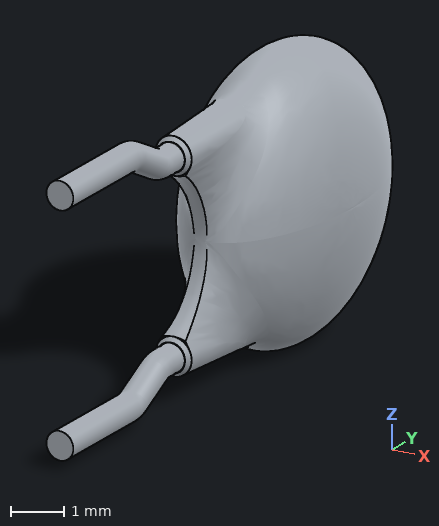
import cadquery as cq
import math

disc_diameter = 6.0
lens_thickness = 3.0
overall_length = 11.0
disc_radius = disc_diameter / 2
half_thickness = lens_thickness / 2

sleeve_end_y = -4.04
sleeve_offset_z = 2.0
sleeve_end_radius = 0.4
sleeve_taper = math.radians(3)
sleeve_blend_radius = 1.7
sleeve_chamfer = 0.09
sleeve_root_y = -0.55
blend_run_out = 0.99

web_edge_radius = 1.83
web_edge_rounding = 0.82
web_cutter_half_width = 0.44

wire_radius = 0.3
wire_tip_offset_z = 2.5
first_bend_y = -4.39
bend_radius = 0.55
bend_angle = math.radians(27)
wire_tip_y = disc_radius - overall_length


def make_lens():
    """Ellipsoid of revolution about the X axis."""
    half_section = (
        cq.Workplane("XY")
        .moveTo(half_thickness, 0)
        .ellipseArc(half_thickness, disc_radius, 0, 180)
        .close()
    )
    return half_section.revolve(360, (0, 0, 0), (1, 0, 0))


def sleeve_radius_at(y):
    return sleeve_end_radius + (y - sleeve_end_y) * math.tan(sleeve_taper)


def make_cone():
    """Sleeve cone, from inside the lens to beyond the finished sleeve end."""
    outer_y = sleeve_end_y - blend_run_out
    return cq.Workplane(
        cq.Solid.makeCone(
            sleeve_radius_at(sleeve_root_y),
            sleeve_radius_at(outer_y),
            sleeve_root_y - outer_y,
            cq.Vector(0, sleeve_root_y, sleeve_offset_z),
            cq.Vector(0, -1, 0),
        )
    )


def make_sleeve_end_trim():
    """Space the trimmed half may fill: a wide cylinder ending in a chamfered round nose."""
    trim_reach = 4 * disc_radius
    chamfer_y = sleeve_end_y + sleeve_chamfer
    profile = (
        cq.Workplane("XY")
        .moveTo(0, sleeve_end_y)
        .lineTo(sleeve_end_radius - sleeve_chamfer, sleeve_end_y)
        .lineTo(sleeve_end_radius, chamfer_y)
        .lineTo(trim_reach, chamfer_y)
        .lineTo(trim_reach, trim_reach)
        .lineTo(0, trim_reach)
        .close()
    )
    return profile.revolve(360, (0, 0, 0), (0, 1, 0)).translate((0, 0, sleeve_offset_z))


def make_web_cutter():
    """Hourglass-shaped cutter along X; its waist touches the tip of the lens."""
    axis_y = -disc_radius - web_edge_radius
    rim_rise = web_edge_rounding - math.sqrt(web_edge_rounding**2 - web_cutter_half_width**2)
    rim_y = -disc_radius + rim_rise
    profile = (
        cq.Workplane("XY")
        .moveTo(-web_cutter_half_width, axis_y)
        .lineTo(-web_cutter_half_width, rim_y)
        .threePointArc((0, -disc_radius), (web_cutter_half_width, rim_y))
        .lineTo(web_cutter_half_width, axis_y)
        .close()
    )
    return profile.revolve(360, (0, axis_y, 0), (1, axis_y, 0))


def make_housing():
    """Upper half with its blended sleeve, mirrored to give the whole housing."""
    joined = make_lens().union(make_cone())
    seam = joined.edges("%BSPLINE")
    blended = seam.fillet(sleeve_blend_radius)
    upper_space = cq.Workplane("XY").box(
        4 * disc_radius, 4 * disc_radius, 2 * disc_radius, centered=(True, True, False)
    )
    upper_half = blended.intersect(upper_space).intersect(make_sleeve_end_trim())
    upper_half = upper_half.cut(make_web_cutter())
    return upper_half.union(upper_half.mirror("XY"))


def make_wire(side):
    """Round lead with an outward double bend; side is +1 for the upper lead, -1 for the lower."""
    sine = math.sin(bend_angle)
    cosine = math.cos(bend_angle)
    bend_rise = bend_radius * (1 - cosine)
    bend_run = bend_radius * sine
    slope_rise = wire_tip_offset_z - sleeve_offset_z - 2 * bend_rise
    slope_run = slope_rise / math.tan(bend_angle)

    slope_start = (first_bend_y - bend_run, sleeve_offset_z + bend_rise)
    slope_end = (slope_start[0] - slope_run, slope_start[1] + slope_rise)
    second_bend_end = (slope_end[0] - bend_run, wire_tip_offset_z)

    def mirrored(point):
        return (point[0], side * point[1])

    path = (
        cq.Workplane("YZ")
        .moveTo(*mirrored((sleeve_end_y, sleeve_offset_z)))
        .lineTo(*mirrored((first_bend_y, sleeve_offset_z)))
        .tangentArcPoint(mirrored(slope_start), relative=False)
        .lineTo(*mirrored(slope_end))
        .tangentArcPoint(mirrored(second_bend_end), relative=False)
        .lineTo(*mirrored((wire_tip_y, wire_tip_offset_z)))
    )
    section = cq.Workplane("XZ", origin=(0, sleeve_end_y, side * sleeve_offset_z)).circle(wire_radius)
    return section.sweep(path)


housing = make_housing()
wires = [make_wire(side) for side in (1, -1)]

result = cq.Compound.makeCompound([housing.val(), *[wire.val() for wire in wires]])